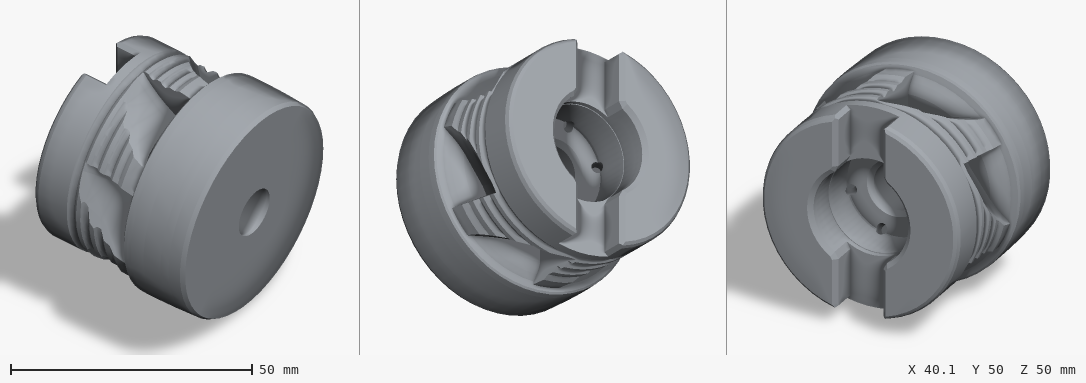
import cadquery as cq
import math

total_length = 40.05
rim_radius = 25.0
hub_radius = 22.95

slot_width = 10.4
slot_depth = 6.45
edge_chamfer = 1.0

hub_face_radius = 21.95
hub_shoulder_radius = 22.6
hub_shoulder_x = 0.55
hub_edge_end_x = 1.45

bore_radius = 11.0
inner_bore_radius = 10.85
bore_step_x = 7.7
relief_x = 15.7
bore_depth = 16.5
through_radius = 5.4
through_chamfer = 1.1

first_groove_x = 8.75
groove_pitch = 3.45
groove_width = 2.4
groove_bottom_offset = 1.35
groove_count = 3
groove_depth = 0.85
groove_bulge = 0.7
land_radius = 23.7
land_start_x = 20.95
ramp_start_x = 19.55

rim_face_x = 22.05
rim_face_radius = 19.35
rim_round_middle = (22.5, 20.7)
rim_round_end = (23.15, 21.8)
rim_cone_end = (24.05, 23.1)
rim_front_outer = (24.55, 24.5)
rim_lip = (24.9, 24.9)
rim_start_x = 25.65
rim_start_radius = 24.95
rim_full_x = 26.7
rim_crown_x = 30.0
rim_taper_x = 34.3
rim_taper_radius = 24.9
rim_second_taper_x = 36.3
rim_second_taper_radius = 24.8
rim_bevel_x = 39.1
rim_bevel_radius = 24.65
rim_back_radius = 24.1

pocket_count = 6
pocket_front_x = 9.0
pocket_back_x = 25.0
pocket_top = 30.0
flank_y = -0.3
root_height = 15.45
blend_y = -2.4
blend_height = 15.35
floor_slope = 0.105
floor_far_y = -27.5
drift_y = -0.13
drift_z = -0.62
root_sag = 0.03401
root_start_x = 11.25

coolant_radius = 1.2
coolant_circle_radius = 10.4
coolant_depth = 4.0
coolant_tilt = 30.0
coolant_angle = 16.5


def turned(outline):
    """Revolve an (X, radius) outline about the X axis."""
    return outline.close().revolve(360, (0, 0, 0), (1, 0, 0))


def make_head():
    """Bored hub front with its slot, sharp edges broken by one chamfer size."""
    head = cq.Workplane("YZ").circle(hub_radius).circle(bore_radius).extrude(bore_step_x)
    slot = cq.Workplane("XY").box(2 * slot_depth, slot_width, 4 * hub_radius)
    head = head.cut(slot)

    wall_edges = head.edges("|X").vals()
    broken = [edge for edge in wall_edges if edge.Center().x < slot_depth]
    for edge in head.faces("<X").edges().vals():
        is_outer_arc = edge.geomType() == "CIRCLE" and edge.radius() > bore_radius + edge_chamfer
        if not is_outer_arc:
            broken.append(edge)
    return head.newObject(broken).chamfer(edge_chamfer)


def make_hub_edge_cutter():
    """Ring removed around the front face to leave the two-step hub chamfer."""
    return turned(
        cq.Workplane("XY")
        .moveTo(0, hub_face_radius)
        .lineTo(hub_shoulder_x, hub_shoulder_radius)
        .lineTo(hub_edge_end_x, hub_radius)
        .lineTo(hub_edge_end_x, rim_radius)
        .lineTo(0, rim_radius)
    )


def make_neck():
    """Solid neck with half-rounded grooves and a raised land next to the rim."""
    outline = cq.Workplane("XY").moveTo(bore_step_x, 0).lineTo(bore_step_x, hub_radius)
    for index in range(groove_count):
        start = first_groove_x + index * groove_pitch
        bottom = start + groove_bottom_offset
        outline = (
            outline.lineTo(start, hub_radius)
            .threePointArc(
                ((start + bottom) / 2, hub_radius - groove_bulge),
                (bottom, hub_radius - groove_depth),
            )
            .lineTo(start + groove_width, hub_radius)
        )
    outline = (
        outline.lineTo(ramp_start_x, hub_radius)
        .lineTo(land_start_x, land_radius)
        .lineTo(pocket_back_x, land_radius)
        .lineTo(pocket_back_x, 0)
    )
    return turned(outline)


def pocket_section(x):
    """Closed pocket section at one X, shifted along the pocket's root direction."""
    from_rim = x - rim_face_x
    shift_y = drift_y * from_rim
    shift_z = drift_z * from_rim + root_sag * from_rim * (x - root_start_x)
    far_height = blend_height + floor_slope * (blend_y - floor_far_y)
    corners = [
        (flank_y, pocket_top),
        (flank_y, root_height),
        (blend_y, blend_height),
        (floor_far_y, far_height),
        (floor_far_y, pocket_top),
    ]
    points = [cq.Vector(x, y + shift_y, z + shift_z) for y, z in corners]
    return cq.Wire.makePolygon(points, close=True)


def make_pocket():
    """Tool body of one chip pocket, deepening along a curved root towards the rim."""
    middle_x = (pocket_front_x + pocket_back_x) / 2
    sections = [pocket_section(x) for x in (pocket_front_x, middle_x, pocket_back_x)]
    return cq.Workplane(cq.Solid.makeLoft(sections))


def make_rim():
    """Solid rear rim, tapering slightly towards its back edge."""
    return turned(
        cq.Workplane("XY")
        .moveTo(rim_face_x, 0)
        .lineTo(rim_face_x, rim_face_radius)
        .threePointArc(rim_round_middle, rim_round_end)
        .lineTo(*rim_cone_end)
        .lineTo(*rim_front_outer)
        .lineTo(*rim_lip)
        .lineTo(rim_start_x, rim_start_radius)
        .lineTo(rim_full_x, rim_radius)
        .lineTo(rim_crown_x, rim_radius)
        .lineTo(rim_taper_x, rim_taper_radius)
        .lineTo(rim_second_taper_x, rim_second_taper_radius)
        .lineTo(rim_bevel_x, rim_bevel_radius)
        .lineTo(total_length, rim_back_radius)
        .lineTo(total_length, 0)
    )


def make_inner_bore():
    """Inner bore behind the step, its floor and the chamfered through hole."""
    return turned(
        cq.Workplane("XY")
        .moveTo(bore_step_x, 0)
        .lineTo(bore_step_x, inner_bore_radius)
        .lineTo(relief_x, inner_bore_radius)
        .lineTo(relief_x, bore_radius)
        .lineTo(bore_depth, bore_radius)
        .lineTo(bore_depth, through_radius + through_chamfer)
        .lineTo(bore_depth + through_chamfer, through_radius)
        .lineTo(total_length, through_radius)
        .lineTo(total_length, 0)
    )


def make_coolant_hole():
    """Blind hole leaning outwards, started inside the bore so that its mouth is complete."""
    tilt = math.radians(coolant_tilt)
    axis = cq.Vector(math.cos(tilt), 0, math.sin(tilt))
    mouth = cq.Vector(bore_depth, 0, coolant_circle_radius)
    hole = cq.Solid.makeCylinder(
        coolant_radius, coolant_depth + coolant_radius, mouth - axis * coolant_radius, axis
    )
    return cq.Workplane(hole).rotate((0, 0, 0), (1, 0, 0), coolant_angle)


neck = make_neck()
pocket = make_pocket()
for index in range(pocket_count):
    neck = neck.cut(pocket.rotate((0, 0, 0), (1, 0, 0), index * 360 / pocket_count))

result = make_head().cut(make_hub_edge_cutter()).union(neck).union(make_rim())
result = result.cut(make_inner_bore())

coolant_hole = make_coolant_hole()
for index in range(pocket_count):
    result = result.cut(coolant_hole.rotate((0, 0, 0), (1, 0, 0), index * 360 / pocket_count))